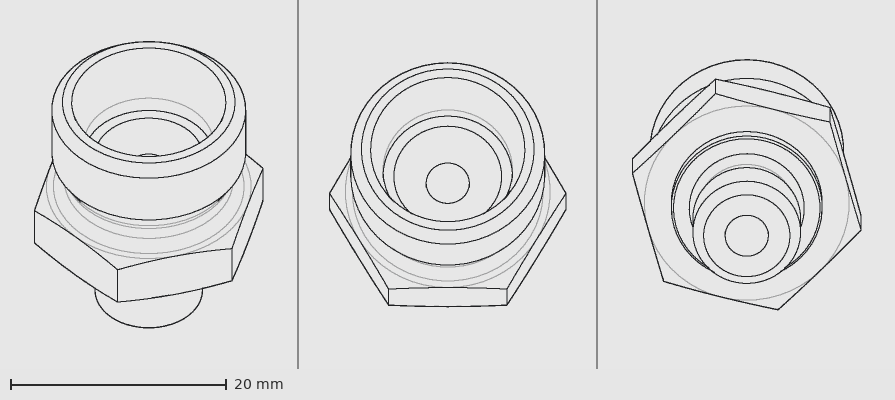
import cadquery as cq
import math

total_height = 25.5
across_flats = 19.0
hex_bottom = 9.5
hex_top = 14.5
hex_chamfer_angle = 15.0

spigot_radius = 10.0 / 2
end_chamfer = 1.0
spigot_top = 4.97
lower_neck_radius = 4.25
collar_radius = 14.0 / 2
collar_bottom = 8.0
collar_chamfer = 0.2

head_radius = 18.0 / 2
head_bottom = 19.05
upper_neck_radius = 15.7 / 2

blend_radius = 1.0
thread_flank = math.radians(30)
collar_flank = math.radians(45)

through_radius = 4.0 / 2
drill_radius = 10.0 / 2
drill_point_angle = 120.0
seat_radius = 12.0 / 2
seat_depth = 7.0
cone_depth = 5.4
cone_half_angle = 12.0


def blend_point(neck_radius, center_z, angle):
    """Point on a groove blend whose tangent leans outward by angle; negative lies below center_z."""
    radius = neck_radius + blend_radius * (1 - math.cos(angle))
    return radius, center_z + blend_radius * math.sin(angle)


def make_turned_body():
    low_flank_radius, _ = blend_point(lower_neck_radius, 0, -thread_flank)
    low_flank_height = (spigot_radius - low_flank_radius) / math.tan(thread_flank)
    neck_z = spigot_top + low_flank_height + blend_radius * math.sin(thread_flank)
    low_blend_start = blend_point(lower_neck_radius, neck_z, -thread_flank)
    low_blend_end = blend_point(lower_neck_radius, neck_z, collar_flank)
    collar_root = low_blend_end[0] + (collar_bottom - low_blend_end[1]) * math.tan(collar_flank)

    up_flank_radius, _ = blend_point(upper_neck_radius, 0, thread_flank)
    up_flank_height = (head_radius - up_flank_radius) / math.tan(thread_flank)
    straight_top = head_bottom - up_flank_height - blend_radius * math.sin(thread_flank)

    fillet_reach = blend_radius * (1 - math.sqrt(0.5))
    fillet_mid = (upper_neck_radius + fillet_reach, hex_top + fillet_reach)

    profile = (
        cq.Workplane("XZ")
        .lineTo(spigot_radius - end_chamfer, 0)
        .lineTo(spigot_radius, end_chamfer)
        .lineTo(spigot_radius, spigot_top)
        .lineTo(*low_blend_start)
        .threePointArc((lower_neck_radius, neck_z), low_blend_end)
        .lineTo(collar_root, collar_bottom)
        .lineTo(collar_radius - collar_chamfer, collar_bottom)
        .lineTo(collar_radius, collar_bottom + collar_chamfer)
        .lineTo(collar_radius, hex_top)
        .lineTo(upper_neck_radius + blend_radius, hex_top)
        .threePointArc(fillet_mid, (upper_neck_radius, hex_top + blend_radius))
        .lineTo(upper_neck_radius, straight_top)
        .threePointArc(
            blend_point(upper_neck_radius, straight_top, thread_flank / 2),
            blend_point(upper_neck_radius, straight_top, thread_flank),
        )
        .lineTo(head_radius, head_bottom)
        .lineTo(head_radius, total_height - end_chamfer)
        .lineTo(head_radius - end_chamfer, total_height)
        .lineTo(0, total_height)
        .close()
    )
    return profile.revolve(360, (0, 0, 0), (0, 1, 0))


def make_hexagon():
    """Hexagon with corners on Y, its corners turned off conically at both ends."""
    corner_radius = across_flats / math.sqrt(3)
    flat_radius = across_flats / 2
    chamfer_height = (corner_radius - flat_radius) * math.tan(math.radians(hex_chamfer_angle))
    prism = (
        cq.Workplane("XY", origin=(0, 0, hex_bottom))
        .polygon(6, 2 * corner_radius)
        .extrude(hex_top - hex_bottom)
        .rotate((0, 0, 0), (0, 0, 1), 90)
    )
    envelope = (
        cq.Workplane("XZ")
        .moveTo(0, hex_bottom)
        .lineTo(flat_radius, hex_bottom)
        .lineTo(corner_radius, hex_bottom + chamfer_height)
        .lineTo(corner_radius, hex_top - chamfer_height)
        .lineTo(flat_radius, hex_top)
        .lineTo(0, hex_top)
        .close()
        .revolve(360, (0, 0, 0), (0, 1, 0))
    )
    return prism.intersect(envelope)


def make_bore():
    """Conical mouth, tube seat, conical drill point and through hole."""
    mouth_radius = seat_radius + cone_depth * math.tan(math.radians(cone_half_angle))
    seat_z = total_height - seat_depth
    point_height = (drill_radius - through_radius) / math.tan(math.radians(drill_point_angle / 2))
    return (
        cq.Workplane("XZ")
        .lineTo(through_radius, 0)
        .lineTo(through_radius, seat_z - point_height)
        .lineTo(drill_radius, seat_z)
        .lineTo(seat_radius, seat_z)
        .lineTo(seat_radius, total_height - cone_depth)
        .lineTo(mouth_radius, total_height)
        .lineTo(0, total_height)
        .close()
        .revolve(360, (0, 0, 0), (0, 1, 0))
    )


result = make_turned_body().union(make_hexagon()).cut(make_bore())